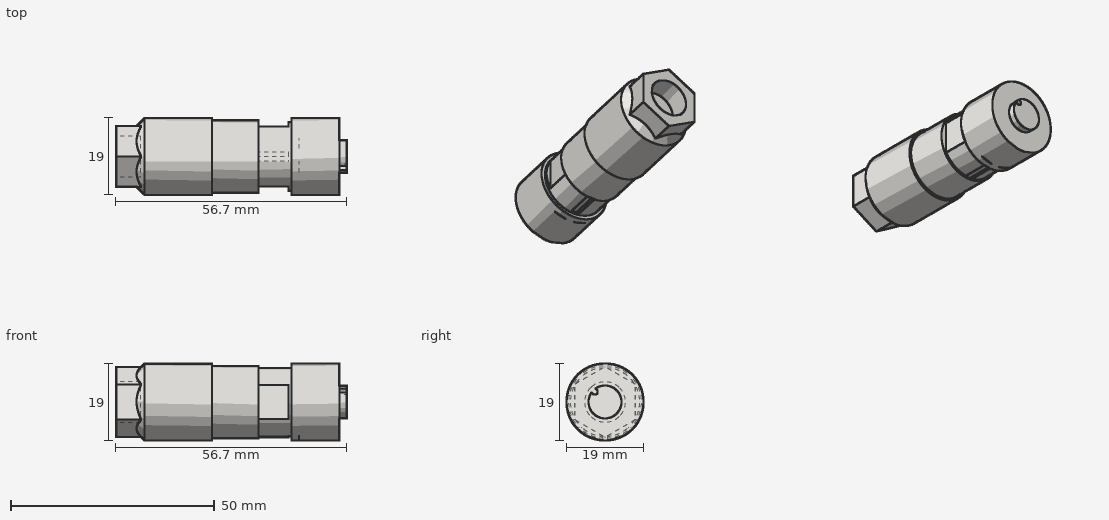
import cadquery as cq
import math


hex_across_flats = 15.0
hex_corner_diameter = hex_across_flats / math.cos(math.radians(30))
bore_diameter = 10.0
bore_depth = 6.0

body_radius = 9.5
middle_radius = 8.95
neck_radius = 8.5
collar_radius = body_radius
plug_radius = 4.05

body_start = 7.0
body_end = 23.6
middle_end = 35.05
collar_start = 43.1
collar_end = 54.9
total_length = 56.74

cone_start_radius = 7.0
cone_start = body_start - (body_radius - cone_start_radius)

cut_clearance = 1.0

top_flat_width = 2.5

wrench_flat_across = 14.8
wrench_flat_end = 42.35

rib_half_width = 1.06
rib_shoulder_height = 8.47
rib_peak_height = 8.8

collar_flat_start = 45.0
collar_flat_tilt = 17.5
collar_flat_half_angle = 10.0

key_slot_radius = 0.7
key_slot_centre = 3.54
key_slot_angle = 45.0


def cylinder(radius, start, end):
    return cq.Workplane("YZ", origin=(start, 0, 0)).circle(radius).extrude(end - start)


def block(start, end, y_size, z_low, z_high):
    """Box centred on Y = 0."""
    size = (end - start, y_size, z_high - z_low)
    return cq.Workplane("XY").box(*size, centered=(False, True, False)).translate((start, 0, z_low))


def turned_about_x(shape, angle):
    return shape.rotate((0, 0, 0), (1, 0, 0), angle)


def with_top_flat(section, radius, start, end):
    """Cut a flat of the common width along the top of a round section."""
    flat_height = math.sqrt(radius**2 - (top_flat_width / 2) ** 2)
    return section.cut(block(start, end, 2 * radius, flat_height, radius + cut_clearance))


def make_hexagon():
    hexagon = cq.Workplane("YZ").polygon(6, hex_corner_diameter).extrude(body_start)
    return turned_about_x(hexagon, 90)


def make_body():
    outline = [
        (cone_start, 0),
        (cone_start, cone_start_radius),
        (body_start, body_radius),
        (body_end, body_radius),
        (body_end, 0),
    ]
    body = cq.Workplane("XY").polyline(outline).close().revolve(360, (0, 0, 0), (1, 0, 0))
    return with_top_flat(body, body_radius, cone_start, body_end)


def make_middle():
    middle = cylinder(middle_radius, body_end, middle_end)
    return with_top_flat(middle, middle_radius, body_end, middle_end)


def make_neck():
    neck = cylinder(neck_radius, middle_end, collar_start)
    neck = with_top_flat(neck, neck_radius, middle_end, collar_start)
    beyond_flat = block(
        middle_end,
        wrench_flat_end,
        2 * neck_radius,
        wrench_flat_across / 2,
        neck_radius + cut_clearance,
    )
    for side in (90, -90):
        neck = neck.cut(turned_about_x(beyond_flat, side))
    return neck.union(make_rib())


def make_rib():
    outline = [
        (-rib_half_width, 0),
        (-rib_half_width, -rib_shoulder_height),
        (0, -rib_peak_height),
        (rib_half_width, -rib_shoulder_height),
        (rib_half_width, 0),
    ]
    plane = cq.Workplane("YZ", origin=(middle_end, 0, 0))
    return plane.polyline(outline).close().extrude(wrench_flat_end - middle_end)


def make_collar():
    collar = cylinder(collar_radius, collar_start, collar_end)
    flat_height = collar_radius * math.cos(math.radians(collar_flat_half_angle))
    beyond_flat = block(
        collar_flat_start,
        collar_end,
        2 * collar_radius,
        flat_height,
        collar_radius + cut_clearance,
    )
    for tilt in (-collar_flat_tilt, collar_flat_tilt):
        collar = collar.cut(turned_about_x(beyond_flat, 180 + tilt))
    return collar


def make_plug():
    plug = cylinder(plug_radius, collar_end, total_length)
    slot_bottom = cylinder(key_slot_radius, collar_end, total_length).translate((0, 0, key_slot_centre))
    slot_walls = block(
        collar_end, total_length, 2 * key_slot_radius, key_slot_centre, plug_radius + cut_clearance
    )
    slot = slot_bottom.union(slot_walls)
    return plug.cut(turned_about_x(slot, key_slot_angle))


result = make_hexagon()
for make_section in (make_body, make_middle, make_neck, make_collar, make_plug):
    result = result.union(make_section())
result = result.cut(cylinder(bore_diameter / 2, 0, bore_depth))